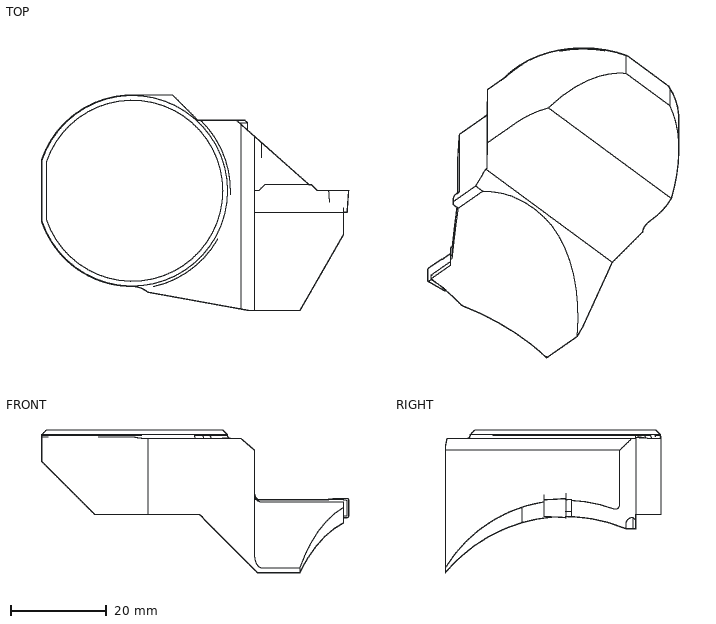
import cadquery as cq
import math

HEAD_RADIUS = 20.0
DISC_RADIUS = 19.9
DISC_CHAMFER = 1.0
DISC_FILLET = 0.6
PLATE_TOP = -1.75
FLAT_X = -18.9
HEAD_BOTTOM = -17.7
REAR_BEVEL_TOP = -6.6

TANGENT_END_X = 8.4
SHOULDER_Y = 14.75
FRONT_Y = -25.05
FRONT_EDGE_X = 24.5
NECK_RADIUS = 5.0
NECK_LENGTH = 3.25
WALL_X = 25.55
WALL_CHAMFER_X = 2.9
WALL_CHAMFER_Z = 2.5

BLADE_END_X = 44.15
BLADE_CORNER_Y = -9.1
BLADE_CORNER_X = 35.0
BOTTOM_Z = -29.84
UNDERCUT_X = 14.0
HOLLOW_DROP = 0.95
HOLLOW_DEPTH = 0.08
ARCH_RADIUS = 32.6
ARCH_CREST = -18.1
CROWN_RADIUS = 29.3
CROWN_CREST = -14.7
BLADE_FILLET = 1.45

RELIEF_START_X = 21.7
RELIEF_END_X = 36.9
RELIEF_FLOOR = -18.3
HEEL_X = 24.1
HEEL_BOTTOM = -20.65
HEEL_FILLET = 1.5
HEEL_CHAMFER = 0.6

EDGE_Y = 0.1
INSERT_BACK_Y = 1.3
INSERT_FRONT_Y = -4.5
BACK_START_X = 27.7
BACK_END_X = 37.4
INSERT_TOP = -14.57
SEAT_Z = -17.0
TIP_X = 45.2
TIP_TOP = -14.3
TIP_BOTTOM = -18.35
TIP_ROUND = 0.4
NOSE_START_X = 41.0
NOSE_RISE = 0.1
CLEARANCE = 0.32
back_step = INSERT_BACK_Y - EDGE_Y
step_end_x = BACK_END_X + back_step

MARGIN = 5.0


def prism_z(points, bottom, top):
    """Upright prism over an XY polygon."""
    return cq.Workplane("XY").workplane(offset=bottom).polyline(points).close().extrude(top - bottom)


def box(x_range, y_range, z_range):
    """Axis-parallel box given by its limits."""
    x_min, x_max = x_range
    y_min, y_max = y_range
    corners = [(x_min, y_min), (x_max, y_min), (x_max, y_max), (x_min, y_max)]
    return prism_z(corners, *z_range)


def cylinder_x(radius, crest):
    """Cylinder along X, over the holder length, whose highest line is at Y = 0, Z = crest."""
    length = BLADE_END_X - FLAT_X + 2 * MARGIN
    return (cq.Workplane("YZ").workplane(offset=FLAT_X - MARGIN)
            .center(0, crest - radius).circle(radius).extrude(length))


def holder_outline():
    """Upright prism over the plan of head, plate and blade, up to the plate top."""
    flat_y = math.sqrt(HEAD_RADIUS**2 - FLAT_X**2)
    diagonal = HEAD_RADIUS / math.sqrt(2)
    neck_angle = math.asin(NECK_LENGTH / NECK_RADIUS)
    neck_centre_y = -HEAD_RADIUS - NECK_RADIUS
    neck_mid = (NECK_RADIUS * math.sin(neck_angle / 2),
                neck_centre_y + NECK_RADIUS * math.cos(neck_angle / 2))
    neck_end = (NECK_LENGTH, neck_centre_y + NECK_RADIUS * math.cos(neck_angle))
    return (cq.Workplane("XY").workplane(offset=BOTTOM_Z)
            .moveTo(FLAT_X, flat_y)
            .threePointArc((-diagonal, diagonal), (0, HEAD_RADIUS))
            .lineTo(TANGENT_END_X, HEAD_RADIUS)
            .lineTo(TANGENT_END_X + HEAD_RADIUS - SHOULDER_Y, SHOULDER_Y)
            .lineTo(BLADE_END_X, SHOULDER_Y)
            .lineTo(BLADE_END_X, BLADE_CORNER_Y)
            .lineTo(BLADE_CORNER_X, FRONT_Y)
            .lineTo(FRONT_EDGE_X, FRONT_Y)
            .lineTo(*neck_end)
            .threePointArc(neck_mid, (0, -HEAD_RADIUS))
            .threePointArc((-diagonal, -diagonal), (FLAT_X, -flat_y))
            .close()
            .extrude(PLATE_TOP - BOTTOM_Z))


def holder_profile():
    """Side profile of the plate, without the blade's crown, extruded along Y."""
    width = HEAD_RADIUS - FRONT_Y + 2 * MARGIN
    hollow_mid = HOLLOW_DROP / 2
    hollow_shift = HOLLOW_DEPTH / math.sqrt(2)
    return (cq.Workplane("XZ", origin=(0, HEAD_RADIUS + MARGIN, 0))
            .moveTo(FLAT_X, PLATE_TOP)
            .lineTo(FLAT_X, REAR_BEVEL_TOP)
            .lineTo(FLAT_X + REAR_BEVEL_TOP - HEAD_BOTTOM, HEAD_BOTTOM)
            .lineTo(UNDERCUT_X, HEAD_BOTTOM)
            .threePointArc((UNDERCUT_X + hollow_mid + hollow_shift, HEAD_BOTTOM - hollow_mid + hollow_shift),
                           (UNDERCUT_X + HOLLOW_DROP, HEAD_BOTTOM - HOLLOW_DROP))
            .lineTo(UNDERCUT_X + HEAD_BOTTOM - BOTTOM_Z, BOTTOM_Z)
            .lineTo(BLADE_END_X, BOTTOM_Z)
            .lineTo(BLADE_END_X, CROWN_CREST)
            .lineTo(WALL_X, CROWN_CREST)
            .lineTo(WALL_X, PLATE_TOP - WALL_CHAMFER_Z)
            .lineTo(WALL_X - WALL_CHAMFER_X, PLATE_TOP)
            .close()
            .extrude(width))


def shape_blade(holder):
    """Round the blade's upper side, blend it into the wall and hollow its underside."""
    above_crown = box((WALL_X, BLADE_END_X + MARGIN), (FRONT_Y - MARGIN, HEAD_RADIUS),
                      (BOTTOM_Z - MARGIN, CROWN_CREST + MARGIN))
    above_crown = above_crown.cut(cylinder_x(CROWN_RADIUS, CROWN_CREST))
    holder = holder.cut(above_crown)
    root = cq.selectors.BoxSelector((WALL_X - 0.01, FRONT_Y - MARGIN, BOTTOM_Z),
                                    (WALL_X + 0.01, HEAD_RADIUS, CROWN_CREST + MARGIN))
    holder = holder.edges("%CIRCLE").edges(root).fillet(BLADE_FILLET)
    below_heel = box((FLAT_X, BLADE_END_X + MARGIN), (0, HEAD_RADIUS + MARGIN),
                     (BOTTOM_Z - MARGIN, HEEL_BOTTOM))
    return holder.cut(cylinder_x(ARCH_RADIUS, ARCH_CREST)).cut(below_heel)


def relieve_side(holder):
    """Cut the +Y side of plate and blade down to the heel, flush with the insert."""
    relief = [(RELIEF_START_X, SHOULDER_Y),
              (RELIEF_END_X, INSERT_BACK_Y),
              (BACK_END_X, INSERT_BACK_Y),
              (step_end_x, EDGE_Y),
              (BLADE_END_X + MARGIN, EDGE_Y),
              (BLADE_END_X + MARGIN, SHOULDER_Y + MARGIN),
              (RELIEF_START_X, SHOULDER_Y + MARGIN)]
    full_depth = prism_z(relief, BOTTOM_Z - MARGIN, PLATE_TOP + MARGIN)
    heel = box((RELIEF_START_X - MARGIN, HEEL_X), (0, SHOULDER_Y), (HEEL_BOTTOM, RELIEF_FLOOR))
    heel = heel.edges(">X and >Z").fillet(HEEL_FILLET)
    heel = heel.edges(">Y and >Z").chamfer(HEEL_CHAMFER)
    return holder.cut(full_depth.cut(heel))


def disc():
    """Raised disc with its chamfered rim and rear flat."""
    flat_y = math.sqrt(DISC_RADIUS**2 - FLAT_X**2)

    def outline(height):
        return (cq.Workplane("XY").workplane(offset=height)
                .moveTo(FLAT_X, flat_y)
                .threePointArc((DISC_RADIUS, 0), (FLAT_X, -flat_y))
                .close())
    rim = outline(-DISC_CHAMFER).extrude(DISC_CHAMFER, taper=45)
    return outline(PLATE_TOP).extrude(-PLATE_TOP - DISC_CHAMFER).union(rim)


def disc_foot():
    """Concave ring between disc and plate, trimmed to the round end of the outline."""
    outer = DISC_RADIUS + DISC_FILLET
    bend = DISC_FILLET * (1 - math.sqrt(0.5))
    inner = DISC_RADIUS - DISC_FILLET
    ring = (cq.Workplane("XZ")
            .moveTo(inner, PLATE_TOP)
            .lineTo(outer, PLATE_TOP)
            .threePointArc((DISC_RADIUS + bend, PLATE_TOP + bend), (DISC_RADIUS, PLATE_TOP + DISC_FILLET))
            .lineTo(inner, PLATE_TOP + DISC_FILLET)
            .close()
            .revolve(360, (0, 0, 0), (0, 1, 0)))
    return ring.intersect(holder_outline().translate((0, 0, DISC_FILLET)))


def insert_bar(top):
    """Bar of the insert from the wall to the blade end, with its thick middle."""
    outline = [(WALL_X, INSERT_FRONT_Y),
               (BLADE_END_X, INSERT_FRONT_Y),
               (BLADE_END_X, EDGE_Y),
               (step_end_x, EDGE_Y),
               (BACK_END_X, INSERT_BACK_Y),
               (BACK_START_X, INSERT_BACK_Y),
               (BACK_START_X - back_step, EDGE_Y),
               (WALL_X, EDGE_Y)]
    return prism_z(outline, SEAT_Z, top)


def insert_nose():
    """Cutting nose with rounded corners, tapering from the rake face towards -Y."""
    def section(workplane, inset):
        start_x = NOSE_START_X + inset
        tip_x = TIP_X - inset
        top = TIP_TOP - inset
        bottom = TIP_BOTTOM + inset
        bend = TIP_ROUND * (1 - math.sqrt(0.5))
        return (workplane.moveTo(start_x, bottom)
                .lineTo(tip_x - TIP_ROUND, bottom)
                .threePointArc((tip_x - bend, bottom + bend), (tip_x, bottom + TIP_ROUND))
                .lineTo(tip_x, top - TIP_ROUND)
                .threePointArc((tip_x - bend, top - bend), (tip_x - TIP_ROUND, top))
                .lineTo(start_x, top - NOSE_RISE)
                .close())
    rake = section(cq.Workplane("XZ", origin=(0, EDGE_Y, 0)), 0)
    rear = rake.workplane(offset=EDGE_Y - INSERT_FRONT_Y)
    nose = section(rear, CLEARANCE).loft(combine=True, ruled=True)
    under_seat = box((NOSE_START_X - MARGIN, BLADE_END_X), (INSERT_FRONT_Y - MARGIN, MARGIN),
                     (BOTTOM_Z, SEAT_Z))
    return nose.cut(under_seat)


holder = shape_blade(holder_outline().intersect(holder_profile()))
holder = relieve_side(holder).union(disc()).union(disc_foot())

insert = insert_bar(INSERT_TOP).union(insert_nose())

pocket = insert_bar(INSERT_TOP + BLADE_FILLET)
holder = holder.cut(pocket)

result = cq.Compound.makeCompound([holder.solids().val(), insert.solids().val()])